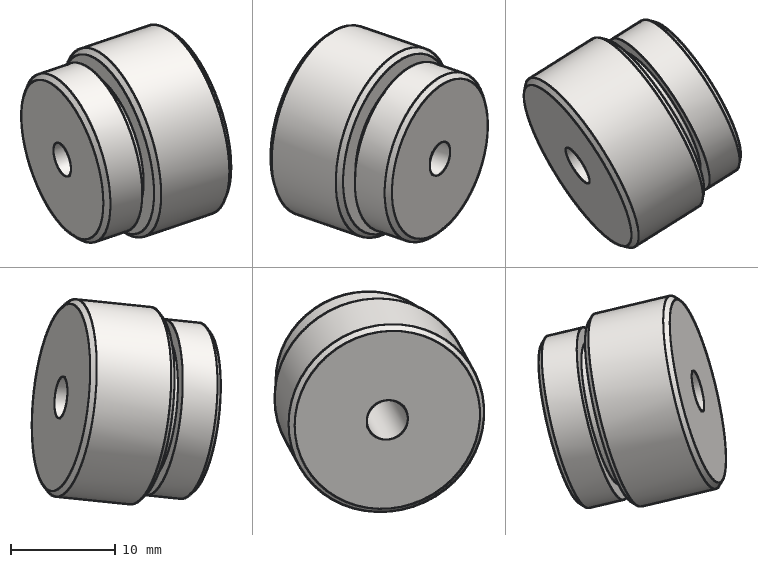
import cadquery as cq

body_diameter = 19.05
body_length = 8.5
groove_diameter = 14.0
groove_width = 1.0
spigot_diameter = 17.0
spigot_length = 4.0
mouth_diameter = 3.4
mouth_depth = 2.0
bore_diameter = 4.0
edge_chamfer = 0.5

groove_start = spigot_length
body_start = groove_start + groove_width
total_length = body_start + body_length


def cylinder_along_y(diameter, length, start):
    """Solid cylinder on the Y axis, running from start toward +Y."""
    plane = cq.Workplane("XZ", origin=(0, start, 0))
    return plane.circle(diameter / 2).extrude(-length)


def make_body():
    """Large cylinder, chamfered at both ends."""
    body = cylinder_along_y(body_diameter, body_length, body_start)
    return body.faces("<Y or >Y").edges().chamfer(edge_chamfer)


def make_groove_core():
    """Reduced neck that forms the floor of the groove."""
    return cylinder_along_y(groove_diameter, groove_width, groove_start)


def make_spigot():
    """Smaller cylinder, chamfered at its free end only."""
    spigot = cylinder_along_y(spigot_diameter, spigot_length, 0)
    return spigot.faces("<Y").edges().chamfer(edge_chamfer)


def make_bore():
    """Stepped through bore: a narrow mouth at the spigot face, wider behind it."""
    mouth = cylinder_along_y(mouth_diameter, mouth_depth, 0)
    wide_bore = cylinder_along_y(bore_diameter, total_length - mouth_depth, mouth_depth)
    return mouth.union(wide_bore)


result = make_spigot().union(make_groove_core()).union(make_body()).cut(make_bore())